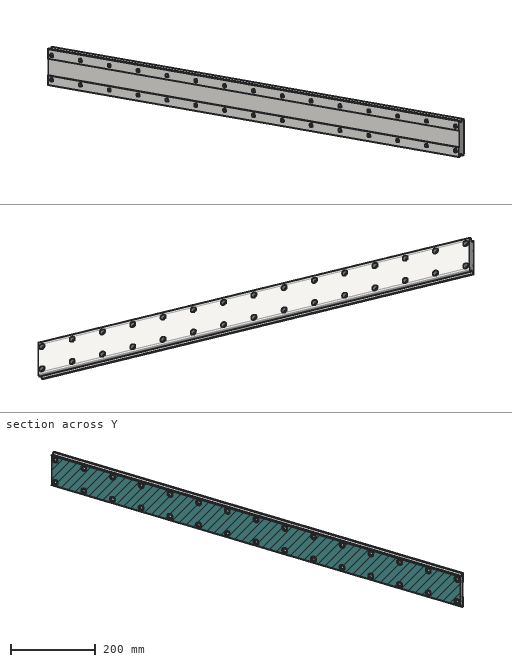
import cadquery as cq
import math

length = 1140.0
thickness = 24.0
height = 90.0

groove_depth = 5.0
groove_wall_slope = 60.0
flange_tip_thickness = 5.0
flange_chamfer = 1.0

nose_base = 11.0
nose_wall_lean = 2.0
relief_depth = 1.4
relief_height = 7.8
nose_radius = 3.0

recess_depth = 1.0
recess_floor_height = 40.0

hole_count = 15
hole_row_count = 2
hole_end_inset = 10.0
hole_edge_inset = 15.0
hole_diameter = 8.8
counterbore_diameter = 14.0
counterbore_depth = 14.0

front_y = -thickness / 2
rear_y = thickness / 2
top_z = height / 2


def upper_outline():
    """Points (y, z) of the rail's upper half, from the recess floor round to the rear face."""
    recess_z = recess_floor_height / 2
    flange_y = front_y + flange_tip_thickness
    groove_z = top_z - groove_depth
    groove_foot_y = flange_y + groove_depth / math.tan(math.radians(groove_wall_slope))
    nose_foot_y = rear_y - nose_base
    return [
        (front_y + recess_depth, recess_z),
        (front_y, recess_z + recess_depth),
        (front_y, top_z - flange_chamfer),
        (front_y + flange_chamfer, top_z),
        (flange_y, top_z),
        (groove_foot_y, groove_z),
        (nose_foot_y, groove_z),
        (nose_foot_y + nose_wall_lean, top_z),
        (rear_y - relief_depth, top_z),
        (rear_y, top_z - relief_height),
    ]


def rail_bar():
    upper = upper_outline()
    lower = [(y, -z) for y, z in reversed(upper)]
    bar = cq.Workplane("YZ", origin=(-length / 2, 0, 0)).polyline(upper + lower).close().extrude(length)
    rear_half = cq.selectors.BoxSelector((-length, 0, -height), (length, thickness, height))
    return bar.faces("<Z or >Z").edges("|X").edges(rear_half).fillet(nose_radius)


def screw_holes():
    pitch = (length - 2 * hole_end_inset) / (hole_count - 1)
    row_spacing = height - 2 * hole_edge_inset
    rear_plane = cq.Workplane("XZ", origin=(0, rear_y, 0))
    places = rear_plane.rarray(pitch, row_spacing, hole_count, hole_row_count)
    shanks = places.circle(hole_diameter / 2).extrude(thickness)
    heads = places.circle(counterbore_diameter / 2).extrude(counterbore_depth)
    return shanks.union(heads)


result = rail_bar().cut(screw_holes())